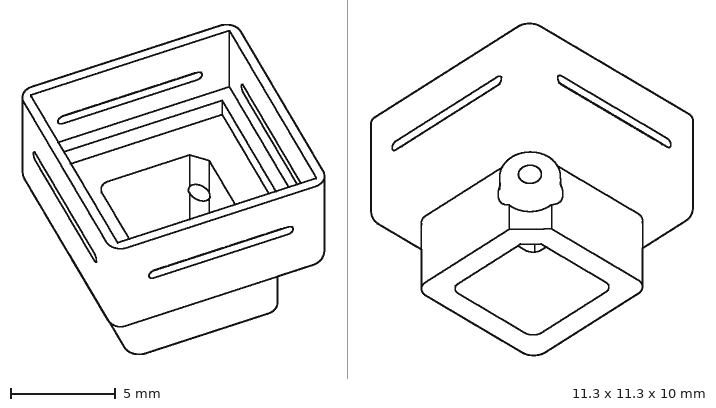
import cadquery as cq
import math

cup_side = 11.3
cup_height = 6.0
cup_radius = 0.75
base_radius = 0.73
wall = 0.47
cavity_side = cup_side - 2 * wall
cavity_depth = 4.0
pocket_side = 9.02
pocket_depth = 5.01

slot_length = 7.5
slot_width = 0.52
slot_drop = 2.51

neck_side = 7.91
neck_height = 4.0
neck_radius = 0.77
neck_chamfer = 1.44
bore_side = 5.51
bore_radius = 0.55
bore_chamfer = 0.71

boss_diameter = 2.9
boss_hole_diameter = 1.1
hole_overrun = 0.56
boss_length = 1.03
boss_edge_radius = 0.2
boss_drop = 1.49
flare_growth = 0.1
flare_length = 0.56
corner_angle = 135


def keyed_square(side, radius, chamfer, bottom, height):
    """Square prism with three round corners and a flat one at -X, +Y."""
    block = cq.Workplane("XY").workplane(offset=bottom).rect(side, side).extrude(height)
    block = block.edges("|Z and (>X or <Y)").fillet(radius)
    return block.edges("|Z and <X and >Y").chamfer(chamfer)


def flat_distance(side, chamfer):
    """Distance from the Z axis to the flat corner of a keyed square."""
    return (side - chamfer) / math.sqrt(2)


def corner_plane(distance):
    """Plane on the boss axis, facing outward through the flat corner."""
    angle = math.radians(corner_angle)
    outward = (math.cos(angle), math.sin(angle), 0)
    origin = (distance * outward[0], distance * outward[1], -boss_drop)
    return cq.Workplane(cq.Plane(origin=origin, xDir=(0, 0, 1), normal=outward))


def square_recess(side, depth):
    """Square cutter reaching down from the rim."""
    return cq.Workplane("XY").workplane(offset=cup_height).rect(side, side).extrude(-depth)


cup = cq.Workplane("XY").rect(cup_side, cup_side).extrude(cup_height)
cup = cup.edges("|Z").fillet(cup_radius)
cup = cup.faces("<Z").edges().fillet(base_radius)
neck_overlap = cup_height - pocket_depth
neck = keyed_square(neck_side, neck_radius, neck_chamfer, -neck_height, neck_height + neck_overlap)

neck_flat = flat_distance(neck_side, neck_chamfer)
boss = corner_plane(neck_flat).circle(boss_diameter / 2).extrude(boss_length)
boss = boss.faces(cq.selectors.DirectionMinMaxSelector(cq.Vector(-1, 1, 0))).edges("%CIRCLE")
boss = boss.fillet(boss_edge_radius)
flare = (
    corner_plane(neck_flat)
    .circle(boss_diameter / 2)
    .workplane(offset=-flare_length)
    .circle(boss_diameter / 2 + flare_growth)
    .loft()
)

result = cup.union(neck).union(flare).union(boss)

result = result.cut(square_recess(cavity_side, cavity_depth))
result = result.cut(square_recess(pocket_side, pocket_depth))
bore_length = neck_height + cup_height
result = result.cut(keyed_square(bore_side, bore_radius, bore_chamfer, -neck_height, bore_length))

for plane in ("XZ", "YZ"):
    slot = cq.Workplane(plane).center(0, cup_height - slot_drop).slot2D(slot_length, slot_width)
    result = result.cut(slot.extrude(cup_side, both=True))

bore_flat = flat_distance(bore_side, bore_chamfer)
hole_start = bore_flat - hole_overrun
hole_length = neck_flat + boss_length - hole_start
hole = corner_plane(hole_start).circle(boss_hole_diameter / 2).extrude(hole_length)
result = result.cut(hole)